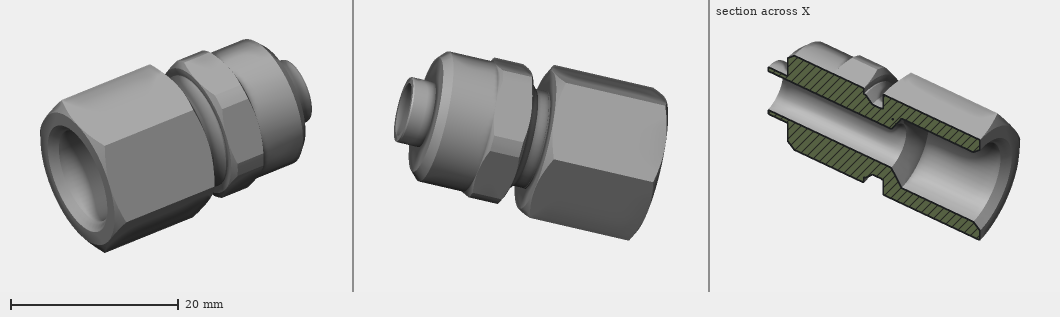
import cadquery as cq
import math

nut_end = 14.0
shoulder_end = 14.15
neck_end = 15.5
collar_start = 16.5
hex_start = 16.68
hex_end = 21.2
body_chamfer_start = 26.72
body_end = 27.7
total_length = 30.5

nut_across_flats = 17.0
nut_face_radius = 8.45
body_hex_across_flats = 15.98
body_hex_corner_radius = 8.72
body_hex_face_radius = 7.95
chamfer_slope = math.tan(math.radians(30))

neck_radius = 5.95
shoulder_radius = 6.05
cone_radius = 7.08
body_radius = body_hex_across_flats / 2
tube_radius = 4.0
tube_taper_length = 0.18
tube_taper_depth = 0.05

mouth_radius = 6.8
bore_radius = 5.83
through_radius = 3.23
bore_depth = 11.3
seat_half_angle = math.radians(60)


def revolve(profile):
    """Turn a closed (radius, y) profile about the Y axis."""
    return cq.Workplane("XY").polyline(profile).close().revolve(360, (0, 0, 0), (0, 1, 0))


def chamfered_hex(start, end, across_flats, corner_radius, face_radius):
    """Hexagon with flats facing Z, cut to a turned envelope with 30 degree end cones."""
    cone_height = (corner_radius - face_radius) * chamfer_slope
    corner_diameter = across_flats / math.cos(math.radians(30))
    prism = (
        cq.Workplane("XZ", origin=(0, start, 0))
        .polygon(6, corner_diameter)
        .extrude(start - end)
    )
    envelope = revolve([
        (0, start),
        (face_radius, start),
        (corner_radius, start + cone_height),
        (corner_radius, end - cone_height),
        (face_radius, end),
        (0, end),
    ])
    return prism.intersect(envelope)


nut_corner_radius = nut_across_flats / 2 / math.cos(math.radians(30))
nut = chamfered_hex(0, nut_end, nut_across_flats, nut_corner_radius, nut_face_radius)
body_hex = chamfered_hex(
    hex_start, hex_end, body_hex_across_flats, body_hex_corner_radius, body_hex_face_radius
)

body_chamfer = body_end - body_chamfer_start
core = revolve([
    (0, 0),
    (shoulder_radius, 0),
    (shoulder_radius, shoulder_end),
    (neck_radius, shoulder_end),
    (neck_radius, neck_end),
    (cone_radius, collar_start),
    (cone_radius, hex_end),
    (body_radius, hex_end),
    (body_radius, body_chamfer_start),
    (body_radius - body_chamfer, body_end),
    (tube_radius, body_end),
    (tube_radius, total_length - tube_taper_length),
    (tube_radius - tube_taper_depth, total_length),
    (0, total_length),
])

seat_depth = (bore_radius - through_radius) / math.tan(seat_half_angle)
bore = revolve([
    (0, 0),
    (mouth_radius, 0),
    (bore_radius, mouth_radius - bore_radius),
    (bore_radius, bore_depth),
    (through_radius, bore_depth + seat_depth),
    (through_radius, total_length),
    (0, total_length),
])

result = core.union(nut).union(body_hex).cut(bore)